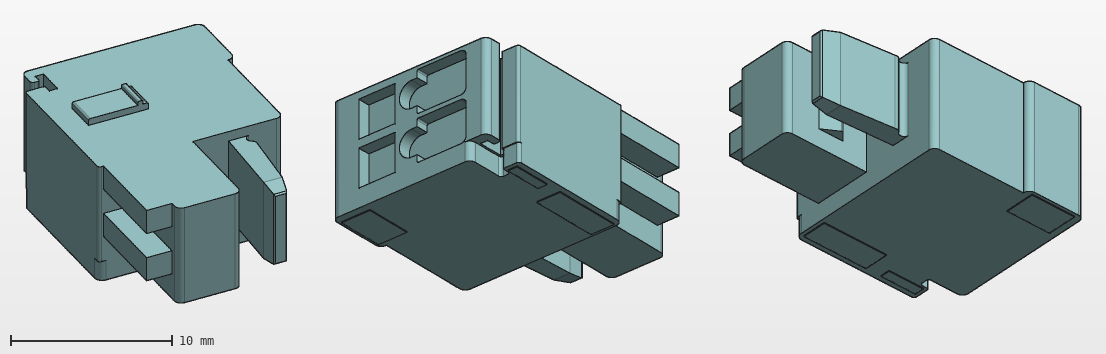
import cadquery as cq


overlap = 0.19

length = 18.6
depth = 13.4
pad_height = 0.07
base_top = 1.5
housing_top = 8.46
housing_right = 12.0
rear_step_x = 4.58
rear_y = 12.89
outer_radius = 0.46
lip_radius = 0.2
base_corner_radius = 0.52

arm_front_y = 0.82
arm_tip_x = 1.38
slot_left_x = 0.78
slot_right_x = 2.68
slot_back_y = 1.97
slot_lip_y = 1.4
block_left_x = 2.08
slot_edge_radius = 0.11

base_front_y = 2.12
base_block_x = 2.15
base_wall_x = 2.88
base_lip_y = 1.34

nose_front_y = 2.12
nose_rear_y = 6.58
nose_radius = 0.46
rib_front_y = 0.35
rib_right_x = 17.8
rib_height = 1.7
rib_pitch = 3.46
rib_count = 2

nose_mid_z = (base_top + housing_top) / 2
latch_height = 5.58
latch_root_front_y = 9.08
latch_root_rear_y = 10.47
latch_notch_bottom = (12.37, 10.17)
latch_notch_end = (12.7, 10.42)
latch_crest_middle = (12.89, 10.53)
latch_crest_end = (13.11, 10.53)
latch_taper_front_y = 8.8
latch_taper_rear_y = 10.1
latch_tip_front_y = 8.87
latch_tip_rear_y = 9.78
latch_end_front_y = 8.93
latch_end_rear_y = 9.67
latch_taper_x = 17.26
latch_tip_x = 18.47
latch_side_taper = 0.22
latch_tip_chamfer = 0.1
hook_height = 4.1
hook_left_x = 13.95
hook_right_x = 15.92
hook_peak = (14.62, 7.37)
hook_peak_radius = 0.11

pole_count = 2
pole_pitch = 3.52
opening_depth = 0.95
square_front_y = 8.3
square_width = 2.94
square_height = 2.88
square_bottom_z = 1.5
keyhole_front_y = 2.5
keyhole_shoulder_y = 6.47
keyhole_bottom_z = 1.5
keyhole_height = 3.18
keyhole_round_diameter = 2.0
keyhole_round_y = 6.92
keyhole_outer_radius = 0.43
keyhole_inner_radius = 0.11

plate_left_x = 5.15
plate_width = 2.21
plate_front_y = 1.71
plate_rear_y = 5.88
plate_thickness = 0.46
ridge_front_y = 5.15
ridge_width = 0.35
ridge_top = 9.2
plate_radius = 0.11
ridge_radius = 0.07

index_pad = (0.58, 4.1, 10.83, 13.15)
front_left_pad = (2.47, 5.32, 0.45, 1.19)
front_right_pad = (6.57, 11.72, 0.45, 2.35)


def box(x_range, y_range, z_range):
    """Box between the given pairs of limits."""
    (x0, x1), (y0, y1), (z0, z1) = x_range, y_range, z_range
    return cq.Workplane("XY").box(x1 - x0, y1 - y0, z1 - z0, centered=False).translate((x0, y0, z0))


def round_upright(body, radius, *corners):
    """Fillet the upright edges that pass through the given X, Y corners."""
    z_low = body.val().BoundingBox().zmin
    z_high = body.val().BoundingBox().zmax
    reach = 0.01
    for x, y in corners:
        picker = cq.selectors.BoxSelector(
            (x - reach, y - reach, z_low - reach), (x + reach, y + reach, z_high + reach)
        )
        body = body.edges("|Z").edges(picker).fillet(radius)
    return body


def housing_layer(front_points, z_low, z_high):
    """Layer with the common stepped rear outline, closed along the given front points."""
    rear_points = [(0, depth), (rear_step_x, depth), (rear_step_x, rear_y), (housing_right, rear_y)]
    layer = (
        cq.Workplane("XY", origin=(0, 0, z_low))
        .polyline(rear_points + front_points)
        .close()
        .extrude(z_high - z_low)
    )
    return round_upright(layer, outer_radius, (0, depth), (rear_step_x, depth), (housing_right, rear_y))


def upper_housing():
    """Main layer, with the T-slot and the arm that encloses it."""
    front_points = [
        (housing_right, 0),
        (block_left_x, 0),
        (block_left_x, slot_lip_y),
        (slot_right_x, slot_lip_y),
        (slot_right_x, slot_back_y),
        (slot_left_x, slot_back_y),
        (slot_left_x, slot_lip_y),
        (arm_tip_x, slot_lip_y),
        (arm_tip_x, arm_front_y),
        (0, arm_front_y),
    ]
    body = housing_layer(front_points, base_top, housing_top)
    body = round_upright(body, outer_radius, (0, arm_front_y))
    body = round_upright(body, lip_radius, (housing_right, 0), (block_left_x, 0), (arm_tip_x, arm_front_y))
    return round_upright(body, slot_edge_radius, (arm_tip_x, slot_lip_y), (block_left_x, slot_lip_y))


def base():
    """Bottom layer, open in front of the slot."""
    front_points = [
        (housing_right, 0),
        (base_block_x, 0),
        (base_block_x, base_lip_y),
        (base_wall_x, base_lip_y),
        (base_wall_x, base_front_y),
        (0, base_front_y),
    ]
    body = housing_layer(front_points, pad_height, base_top)
    body = round_upright(body, outer_radius, (0, base_front_y))
    body = round_upright(body, base_corner_radius, (housing_right, 0))
    body = round_upright(body, slot_edge_radius, (base_block_x, base_lip_y))
    return round_upright(
        body, lip_radius, (base_block_x, 0), (base_wall_x, base_lip_y), (base_wall_x, base_front_y)
    )


def nose():
    inner_x = housing_right - outer_radius
    body = box((inner_x, length), (nose_front_y, nose_rear_y), (base_top, housing_top))
    body = round_upright(body, nose_radius, (length, nose_front_y), (length, nose_rear_y))
    for index in range(rib_count):
        rib_top = housing_top - index * rib_pitch
        rib = box(
            (inner_x, rib_right_x), (rib_front_y, nose_front_y + overlap), (rib_top - rib_height, rib_top)
        )
        body = body.union(rib)
    return body


def latch_arm():
    """Arm with a rounded hinge notch at its root and a tip that tapers on all four sides."""
    root_x = housing_right - overlap
    arm = (
        cq.Workplane("XY", origin=(0, 0, nose_mid_z - latch_height / 2))
        .moveTo(root_x, latch_root_rear_y)
        .lineTo(housing_right, latch_root_rear_y)
        .threePointArc(latch_notch_bottom, latch_notch_end)
        .threePointArc(latch_crest_middle, latch_crest_end)
        .lineTo(latch_taper_x, latch_taper_rear_y)
        .lineTo(latch_tip_x, latch_tip_rear_y)
        .lineTo(length, latch_end_rear_y)
        .lineTo(length, latch_end_front_y)
        .lineTo(latch_tip_x, latch_tip_front_y)
        .lineTo(latch_taper_x, latch_taper_front_y)
        .lineTo(housing_right, latch_root_front_y)
        .lineTo(root_x, latch_root_front_y)
        .close()
        .extrude(latch_height)
    )
    half = latch_height / 2
    tip_half = half - latch_side_taper
    side_profile = (
        cq.Workplane("XZ", origin=(0, depth, nose_mid_z))
        .moveTo(root_x, half)
        .lineTo(latch_taper_x, half)
        .lineTo(latch_tip_x, tip_half)
        .lineTo(length, tip_half - latch_tip_chamfer)
        .lineTo(length, latch_tip_chamfer - tip_half)
        .lineTo(latch_tip_x, -tip_half)
        .lineTo(latch_taper_x, -half)
        .lineTo(root_x, -half)
        .close()
        .extrude(depth)
    )
    return arm.intersect(side_profile)


def latch_hook():
    """Wedge on the rear of the nose with a rounded crest."""
    hook = (
        cq.Workplane("XY", origin=(0, 0, nose_mid_z - hook_height / 2))
        .moveTo(hook_left_x, nose_rear_y - overlap)
        .lineTo(hook_left_x, nose_rear_y)
        .lineTo(*hook_peak)
        .lineTo(hook_right_x, nose_rear_y)
        .lineTo(hook_right_x, nose_rear_y - overlap)
        .close()
        .extrude(hook_height)
    )
    return round_upright(hook, hook_peak_radius, hook_peak)


def keyhole(z_bottom):
    """Rectangular recess that opens into a round-ended recess behind it."""
    z_mid = z_bottom + keyhole_height / 2
    mid_y = (keyhole_front_y + keyhole_round_y) / 2
    radius = keyhole_round_diameter / 2
    body = box(
        (0, opening_depth), (keyhole_front_y, keyhole_shoulder_y), (z_bottom, z_bottom + keyhole_height)
    )
    body = body.edges("|X and <Y").fillet(keyhole_outer_radius)
    body = body.edges("|X and >Y").fillet(keyhole_inner_radius)
    round_end = cq.Workplane("YZ").center(keyhole_round_y, z_mid).circle(radius).extrude(opening_depth)
    neck = box((0, opening_depth), (mid_y, keyhole_round_y), (z_mid - radius, z_mid + radius))
    return body.union(round_end).union(neck)


def pole_openings(index):
    rise = index * pole_pitch
    square = box(
        (0, opening_depth),
        (square_front_y, square_front_y + square_width),
        (square_bottom_z + rise, square_bottom_z + rise + square_height),
    )
    return square.union(keyhole(keyhole_bottom_z + rise))


def top_plate():
    plate_right_x = plate_left_x + plate_width
    plate_top = housing_top + plate_thickness
    plate = box((plate_left_x, plate_right_x), (plate_front_y, plate_rear_y), (housing_top, plate_top))
    plate = plate.edges("|X and >Z").fillet(plate_radius)
    ridge = box(
        (plate_left_x, plate_right_x), (ridge_front_y, ridge_front_y + ridge_width), (housing_top, ridge_top)
    )
    ridge = ridge.edges("|X and >Z").fillet(ridge_radius)
    return plate.union(ridge)


def underside_pad(x_left, x_right, y_front, y_rear):
    return box((x_left, x_right), (y_front, y_rear), (0, pad_height))


result = upper_housing().union(base()).union(nose())
result = result.union(latch_arm()).union(latch_hook()).union(top_plate())
for pad in (index_pad, front_left_pad, front_right_pad):
    result = result.union(underside_pad(*pad))
for pole in range(pole_count):
    result = result.cut(pole_openings(pole))